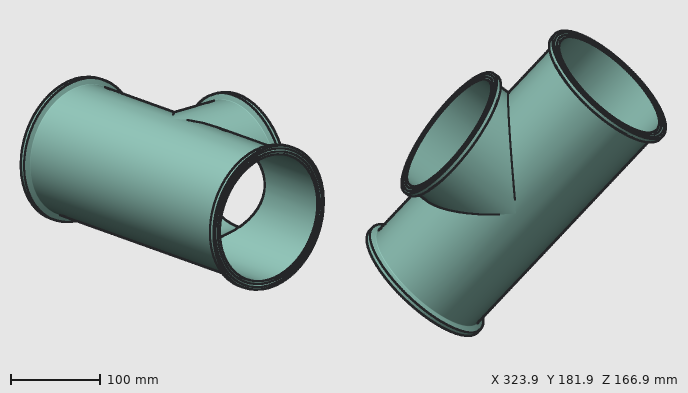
import cadquery as cq
import math

TUBE_OD = 152.4
BORE_D = 146.86
FLANGE_OD = 166.88
RUN_LENGTH = 323.85
BRANCH_REACH = 98.42
RIM_WIDTH = 5.8
TAPER_ANGLE = 20.0
ROOT_RADIUS = 0.8
GROOVE_MEAN_D = 157.0
GROOVE_MOUTH = 3.5
GROOVE_FLOOR = 2.3
GROOVE_WALL_DEPTH = 1.0
GROOVE_DEPTH = 1.6

tube_r = TUBE_OD / 2
bore_r = BORE_D / 2
flange_r = FLANGE_OD / 2
groove_r = GROOVE_MEAN_D / 2
half_run = RUN_LENGTH / 2
taper = math.radians(TAPER_ANGLE)
back_width = RIM_WIDTH + (flange_r - tube_r) * math.tan(taper)
root_half_turn = (math.pi / 2 - taper) / 2
root_tangent = ROOT_RADIUS * math.tan(root_half_turn)
root_gap = ROOT_RADIUS * (1 / math.cos(root_half_turn) - 1)


def make_leg(length):
    """Solid tube along +Z from the origin, with a clamp flange at its far end."""
    root_z = length - back_width
    return (
        cq.Workplane("XZ")
        .lineTo(tube_r, 0)
        .lineTo(tube_r, root_z - root_tangent)
        .threePointArc(
            (
                tube_r + root_gap * math.cos(root_half_turn),
                root_z - root_gap * math.sin(root_half_turn),
            ),
            (
                tube_r + root_tangent * math.cos(taper),
                root_z + root_tangent * math.sin(taper),
            ),
        )
        .lineTo(flange_r, length - RIM_WIDTH)
        .lineTo(flange_r, length)
        .lineTo(0, length)
        .close()
        .revolve(360, (0, 0, 0), (0, 1, 0))
    )


def make_leg_cutters(length):
    """Cutters for the bore and the gasket groove of a leg along +Z."""
    bore = cq.Workplane("XY").circle(bore_r).extrude(length)
    groove = (
        cq.Workplane("XZ")
        .moveTo(groove_r - GROOVE_MOUTH / 2, length)
        .lineTo(groove_r - GROOVE_FLOOR / 2, length - GROOVE_WALL_DEPTH)
        .threePointArc(
            (groove_r, length - GROOVE_DEPTH),
            (groove_r + GROOVE_FLOOR / 2, length - GROOVE_WALL_DEPTH),
        )
        .lineTo(groove_r + GROOVE_MOUTH / 2, length)
        .close()
        .revolve(360, (0, 0, 0), (0, 1, 0))
    )
    return bore, groove


def turn_to_x(leg, direction):
    """Turn a leg from +Z to +X (direction 1) or -X (direction -1)."""
    return leg.rotate((0, 0, 0), (0, 1, 0), 90 * direction)


def turn_to_y(leg):
    """Turn a leg from +Z to +Y."""
    return leg.rotate((0, 0, 0), (1, 0, 0), -90)


body = turn_to_y(make_leg(BRANCH_REACH))
for side in (1, -1):
    body = body.union(turn_to_x(make_leg(half_run), side))

for cutter in make_leg_cutters(BRANCH_REACH):
    body = body.cut(turn_to_y(cutter))
for side in (1, -1):
    for cutter in make_leg_cutters(half_run):
        body = body.cut(turn_to_x(cutter, side))

result = body.clean()